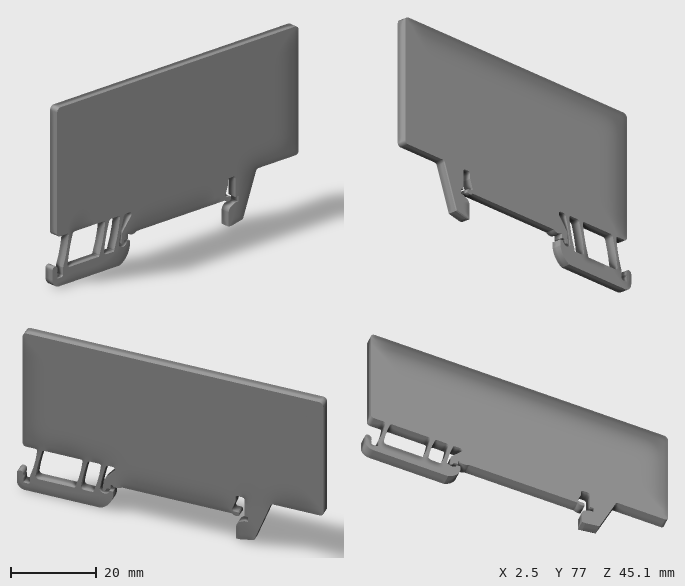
import cadquery as cq
thickness = 2.5

plate_near_y = 1.5
plate_far_y = 77.05
plate_bottom = 12.55
plate_top = 45.15
plate_top_radius = 1.1
plate_bottom_radius = 0.85

keel_bottom = 7.25
keel_far_y = 54.9
bump_bottom = 6.8

leg_top = plate_bottom + 0.8
leg_root_y = 64.4
leg_root_middle = (64.0, 12.4)
leg_root_end = (63.7, 11.95)
leg_heel = (59.6, 1.0)
leg_toe = (56.1, 0.3)
leg_tip_y = 55.15
leg_inner_y = 57.25
leg_notch_y = 58.2
leg_notch_bottom = 5.85
leg_chamfer = 0.2
slot_radius = 0.6

foot_floor = 4.0
foot_toe_radius = 2.1
hook_top = 5.3
hook_inner_y = 1.6
hook_radius = hook_inner_y / 2
groove_floor = 2.1
groove_far_y = 3.3
catch_y = 24.2
catch_top = 5.5

rib_feet = (groove_far_y, 14.7, 19.3)
rib_base_height = 0.4
rib_lean = 1.85
rib_width = 1.3
rib_waist = 0.85
rib_foot_radius = 0.3
rib_near_radius = 0.5
rib_far_radius = 0.8


def start(y, z):
    return cq.Workplane("YZ").moveTo(y, z)


def extrude(outline):
    """Close a YZ outline and extrude it symmetrically about X = 0."""
    return outline.close().extrude(thickness / 2, both=True)


def midpoint(a, b):
    return ((a[0] + b[0]) / 2, (a[1] + b[1]) / 2)


def round_corners(body, corners, radius):
    """Fillet the edges along X that pass through the given (y, z) corners."""
    for y, z in corners:
        corner = cq.selectors.NearestToPointSelector((0, y, z))
        body = body.edges("|X").edges(corner).fillet(radius)
    return body


def make_plate():
    plate = extrude(
        start(plate_near_y, plate_bottom)
        .lineTo(plate_far_y, plate_bottom)
        .lineTo(plate_far_y, plate_top)
        .lineTo(plate_near_y, plate_top)
    )
    plate = plate.faces(">Z").edges("|X").fillet(plate_top_radius)
    return plate.faces("<Z").edges("|X").fillet(plate_bottom_radius)


def make_keel():
    """Step under the plate with a lip at each end and a shallow bump beside each lip."""
    return extrude(
        start(keel_far_y, plate_bottom)
        .lineTo(keel_far_y, 10.8)
        .lineTo(54.2, 8.8)
        .threePointArc((54.2, 8.2), (54.7, 7.9))
        .lineTo(55.6, 7.9)
        .lineTo(55.85, 7.7)
        .lineTo(55.85, 7.0)
        .threePointArc((55.1, bump_bottom), (54.1, keel_bottom))
        .lineTo(26.4, keel_bottom)
        .threePointArc((25.3, bump_bottom), (24.1, 7.0))
        .lineTo(23.95, keel_bottom)
        .lineTo(23.6, keel_bottom)
        .lineTo(23.6, 6.0)
        .lineTo(22.65, 6.0)
        .lineTo(22.3, 5.3)
        .threePointArc((21.9, 5.1), (21.6, 5.5))
        .lineTo(21.8, 7.6)
        .threePointArc((21.9, 8.1), (22.1, 8.5))
        .lineTo(24.6, 11.5)
        .threePointArc((24.65, 12.2), (24.1, plate_bottom))
    )


def rim_at(point):
    """Selector for the -X rim edge nearest to a (y, z) point."""
    return cq.selectors.NearestToPointSelector((-thickness / 2, *point))


def make_leg():
    """Latch leg: sloped outer side, straight inner side with a notch, wedge-shaped toe."""
    leg = extrude(
        start(leg_inner_y, leg_top)
        .lineTo(leg_root_y, leg_top)
        .lineTo(leg_root_y, plate_bottom)
        .threePointArc(leg_root_middle, leg_root_end)
        .lineTo(*leg_heel)
        .lineTo(*leg_toe)
        .lineTo(leg_tip_y, leg_toe[1])
        .lineTo(leg_tip_y, 4.0)
        .threePointArc((55.5, 4.8), (56.1, 5.3))
        .lineTo(leg_inner_y, leg_notch_bottom)
        .lineTo(leg_notch_y, leg_notch_bottom)
        .lineTo(leg_notch_y, keel_bottom)
        .lineTo(leg_inner_y, keel_bottom)
    )
    rim = (
        rim_at(leg_root_middle)
        + rim_at(midpoint(leg_root_end, leg_heel))
        + rim_at(midpoint(leg_heel, leg_toe))
    )
    return leg.faces("<X").edges(rim).chamfer(leg_chamfer)


def make_foot():
    """Foot bar: curled hook at -Y, flat floor under the ribs, rounded catch at +Y."""
    return extrude(
        start(groove_far_y, foot_floor)
        .lineTo(groove_far_y, 2.6)
        .threePointArc((3.15, 2.2), (2.8, groove_floor))
        .lineTo(hook_inner_y, groove_floor)
        .lineTo(hook_inner_y, 3.2)
        .lineTo(1.4, 3.6)
        .lineTo(hook_inner_y, 4.0)
        .lineTo(hook_inner_y, hook_top - hook_radius)
        .threePointArc((hook_radius, hook_top), (0, hook_top - hook_radius))
        .lineTo(0, foot_toe_radius)
        .radiusArc((foot_toe_radius, 0), -foot_toe_radius)
        .lineTo(21.1, 0)
        .threePointArc((22.95, 1.4), (catch_y, 3.9))
        .lineTo(catch_y, catch_top)
        .lineTo(23.3, catch_top)
        .lineTo(23.3, 5.25)
        .threePointArc((21.9, 4.4), (20.7, 5.3))
        .lineTo(20.0, foot_floor)
    )


def make_rib(foot_y):
    """Leaning rib whose two sides bow inward to a narrower waist, with a short upright base."""
    top_y = foot_y + rib_lean
    middle_y, middle_z = midpoint((foot_y, foot_floor), (top_y + rib_width, plate_bottom))
    return extrude(
        start(foot_y, foot_floor)
        .lineTo(foot_y, foot_floor + rib_base_height)
        .threePointArc((middle_y - rib_waist / 2, middle_z), (top_y, plate_bottom))
        .lineTo(top_y + rib_width, plate_bottom)
        .threePointArc((middle_y + rib_waist / 2, middle_z), (foot_y + rib_width, foot_floor))
    )


body = make_plate().union(make_keel()).union(make_leg()).union(make_foot())
for foot_y in rib_feet:
    body = body.union(make_rib(foot_y))

rib_tops = [foot_y + rib_lean for foot_y in rib_feet]
window_near_ribs = rib_feet[:-1]
window_far_ribs = rib_feet[1:]
body = round_corners(body, [(y, plate_bottom) for y in rib_tops], rib_near_radius)
body = round_corners(body, [(y + rib_width, plate_bottom) for y in rib_tops], rib_far_radius)
body = round_corners(body, [(y + rib_width, foot_floor) for y in window_near_ribs], rib_far_radius)
body = round_corners(body, [(y, foot_floor) for y in window_far_ribs], rib_foot_radius)

slot_corners = [(leg_inner_y, plate_bottom), (keel_far_y, plate_bottom)]
result = round_corners(body, slot_corners, slot_radius)